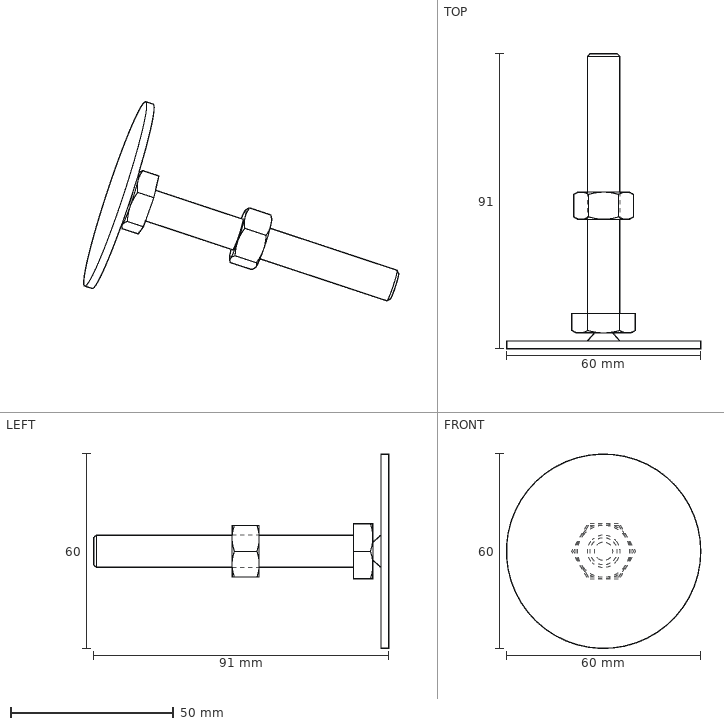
import cadquery as cq
import math

TOTAL_LENGTH = 91.0

PLATE_DIAMETER = 60.0
PLATE_THICKNESS = 2.5

ROD_DIAMETER = 10.0
ROD_TIP_CHAMFER = 0.8
NECK_DIAMETER = 5.6

STUD_HEX_START = 4.9
STUD_HEX_HEIGHT = 6.0
STUD_HEX_FLATS = 17.0

NUT_START = 39.95
NUT_HEIGHT = 8.4
NUT_FLATS = 16.0

HEX_CHAMFER_ANGLE = 30.0


def cylinder(diameter, start, length):
    """Solid cylinder along +Y beginning at Y = start."""
    plane = cq.Workplane("XZ", origin=(0, start, 0))
    return plane.circle(diameter / 2).extrude(-length)


def hexagon(flats, start, height, chamfer_far_end):
    """Hexagonal prism with corners on X and conical chamfers at its ends."""
    corner_radius = flats / math.sqrt(3)
    flat_radius = flats / 2
    chamfer_height = (corner_radius - flat_radius) * math.tan(math.radians(HEX_CHAMFER_ANGLE))
    end = start + height
    prism = (
        cq.Workplane("XZ", origin=(0, start, 0))
        .polygon(6, 2 * corner_radius)
        .extrude(-height)
    )
    envelope = (
        cq.Workplane("XY")
        .moveTo(0, start)
        .lineTo(flat_radius, start)
        .lineTo(corner_radius, start + chamfer_height)
    )
    if chamfer_far_end:
        envelope = envelope.lineTo(corner_radius, end - chamfer_height).lineTo(flat_radius, end)
    else:
        envelope = envelope.lineTo(corner_radius, end)
    envelope = envelope.lineTo(0, end).close().revolve(360, (0, 0, 0), (0, 1, 0))
    return prism.intersect(envelope)


def make_plate():
    return cylinder(PLATE_DIAMETER, 0, PLATE_THICKNESS)


def make_stud():
    """Foot cone, hexagon and chamfered rod in one piece, standing on the plate."""
    rod_radius = ROD_DIAMETER / 2
    neck_radius = NECK_DIAMETER / 2
    shaft = (
        cq.Workplane("XY")
        .moveTo(0, PLATE_THICKNESS)
        .lineTo(rod_radius, PLATE_THICKNESS)
        .lineTo(neck_radius, STUD_HEX_START)
        .lineTo(rod_radius, STUD_HEX_START)
        .lineTo(rod_radius, TOTAL_LENGTH - ROD_TIP_CHAMFER)
        .lineTo(rod_radius - ROD_TIP_CHAMFER, TOTAL_LENGTH)
        .lineTo(0, TOTAL_LENGTH)
        .close()
        .revolve(360, (0, 0, 0), (0, 1, 0))
    )
    head = hexagon(STUD_HEX_FLATS, STUD_HEX_START, STUD_HEX_HEIGHT, chamfer_far_end=False)
    return shaft.union(head)


def make_nut():
    blank = hexagon(NUT_FLATS, NUT_START, NUT_HEIGHT, chamfer_far_end=True)
    return blank.cut(cylinder(ROD_DIAMETER, NUT_START, NUT_HEIGHT))


plate = make_plate()
stud = make_stud()
nut = make_nut()

result = cq.Compound.makeCompound([plate.val(), stud.val(), nut.val()])